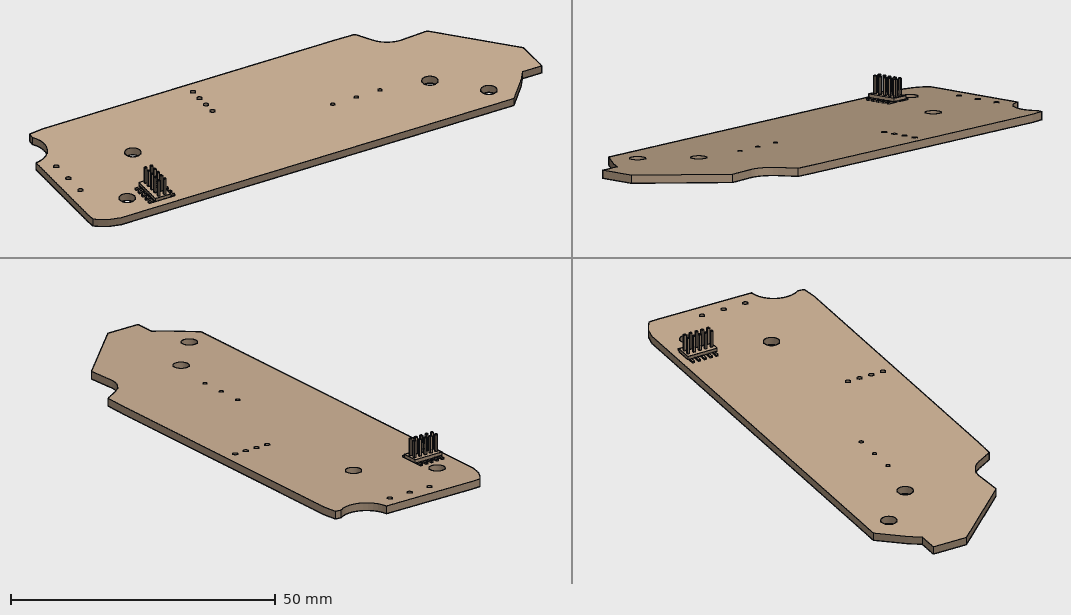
import cadquery as cq
import math

board_width = 34.1
board_length = 99.95
board_thickness = 1.6

tab_left = 19.6
tab_right = 26.8
tab_foot = 95.8
shoulder_bend = (29.0, 94.3)
right_edge_top = 89.9
left_corner = (5.7, 86.9)

hollow_centre = (0.7, 81.0)
hollow_radius = 5.4
hollow_start_angle = -60
hollow_end_angle = 9
hollow_facets = 7
hollow_foot = (0.1, 74.4)
left_edge_top = 69.8

left_edge_bottom = 7.0
left_foot = (0.4, 3.9)
lowest_point = (30.1, 0)
right_corner = [(31.9, 0.1), (32.6, 1.0), (33.5, 2.6)]
right_edge_bottom = 5.0

notch_centre = (4.6, -0.4)
notch_radius = 5.1
notch_start_angle = 6
notch_end_angle = 125
notch_facets = 11

mount_diameter = 3.1
mount_centres = [(29.2, 87.2), (21.0, 79.0), (15.4, 17.9), (28.7, 9.3)]
wide_diameter = 1.0
small_diameter = 0.8
bottom_row_start = (12.6, 2.9)
bottom_row_pitch = 4.7
bottom_row_count = 3
side_row_start = (2.6, 38.0)
side_row_length = 7.6
side_row_count = 4
side_row_pitch = side_row_length / (side_row_count - 1)
upper_column_start = (19.2, 59.0)
upper_column_pitch = 5.1
upper_column_count = 3

header_centre = (29.6, 14.8)
pin_columns = 5
pin_row_length = 5.1
pin_pitch = pin_row_length / (pin_columns - 1)
pin_width = 0.45
pin_top = 6.1
tip_chamfer = 0.1
housing_length = 6.4
housing_width = 3.4
housing_height = 0.7
tail_thickness = 0.3
housing_standoff = tail_thickness
tail_span = 5.6


def row_of_points(start, pitch, count):
    return [(start[0] + i * pitch, start[1]) for i in range(count)]


def column_of_points(start, pitch, count):
    return [(start[0], start[1] + i * pitch) for i in range(count)]


def faceted_arc(centre, radius, start_angle, end_angle, facets):
    """Corner points of an arc made of equal straight facets; angles in degrees."""
    step = (end_angle - start_angle) / facets
    angles = [math.radians(start_angle + i * step) for i in range(facets + 1)]
    return [(centre[0] + radius * math.cos(a), centre[1] + radius * math.sin(a)) for a in angles]


def board_blank():
    """Board outline, anticlockwise from the upper left end of the tab, extruded to the board thickness."""
    hollow = faceted_arc(hollow_centre, hollow_radius, hollow_start_angle, hollow_end_angle, hollow_facets)
    notch = faceted_arc(notch_centre, notch_radius, notch_start_angle, notch_end_angle, notch_facets)
    outline = [
        (tab_left, board_length),
        left_corner,
        *reversed(hollow),
        hollow_foot,
        (0, left_edge_top),
        (0, left_edge_bottom),
        left_foot,
        *reversed(notch),
        lowest_point,
        *right_corner,
        (board_width, right_edge_bottom),
        (board_width, right_edge_top),
        shoulder_bend,
        (tab_right, tab_foot),
        (tab_right, board_length),
    ]
    return cq.Workplane("XY").polyline(outline).close().extrude(board_thickness)


def holes(centres, diameter):
    return cq.Workplane("XY").pushPoints(centres).circle(diameter / 2).extrude(board_thickness)


def make_board():
    bottom_row = row_of_points(bottom_row_start, bottom_row_pitch, bottom_row_count)
    side_row = row_of_points(side_row_start, side_row_pitch, side_row_count)
    upper_column = column_of_points(upper_column_start, upper_column_pitch, upper_column_count)
    return (
        board_blank()
        .cut(holes(mount_centres, mount_diameter))
        .cut(holes(bottom_row, wide_diameter))
        .cut(holes(side_row, wide_diameter))
        .cut(holes(upper_column, small_diameter))
    )


def header_pin(x, side):
    """One bent pin: an upright post and a flat tail that runs outward along the board (side = +1 or -1)."""
    inner_y = side * (pin_pitch - pin_width) / 2
    outer_y = side * tail_span / 2
    post_y = side * pin_pitch / 2
    post = (
        cq.Workplane("XY")
        .center(x, post_y)
        .rect(pin_width, pin_width)
        .extrude(pin_top - board_thickness)
        .faces(">Z")
        .chamfer(tip_chamfer)
    )
    tail = (
        cq.Workplane("XY")
        .center(x, (inner_y + outer_y) / 2)
        .rect(pin_width, abs(outer_y - inner_y))
        .extrude(tail_thickness)
    )
    return post.union(tail)


def make_header():
    header = (
        cq.Workplane("XY")
        .workplane(offset=housing_standoff)
        .rect(housing_length, housing_width)
        .extrude(housing_height)
    )
    for column in range(pin_columns):
        x = column * pin_pitch - pin_row_length / 2
        for side in (1, -1):
            header = header.union(header_pin(x, side))
    return header.translate((*header_centre, board_thickness))


board = make_board()
header = make_header()

result = cq.Compound.makeCompound([board.val(), *header.vals()])